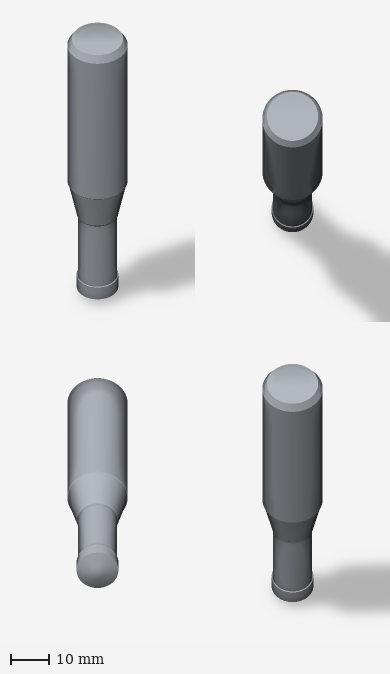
import cadquery as cq
import math

head_radius = 5.5
head_top = 6.0
point_angle = 140.0
point_height = head_radius / math.tan(math.radians(point_angle / 2))

neck_radius = 5.2
neck_top = 26.5
taper_bottom_radius = head_radius
taper_bottom = 27.0
taper_top_radius = 7.75
taper_top = 37.8
shank_bottom = 38.0
shank_radius = 7.96
total_height = 86.0
end_chamfer_width = 1.2
end_chamfer_height = 2.0


def revolve_profile(points):
    """Turn a closed radius-height outline around the Z axis."""
    return cq.Workplane("XZ").polyline(points).close().revolve(360, (0, 0, 0), (0, 1, 0))


def make_cutting_head():
    return revolve_profile([
        (0, 0),
        (head_radius, point_height),
        (head_radius, head_top),
        (0, head_top),
    ])


def make_holder():
    return revolve_profile([
        (0, head_top),
        (neck_radius, head_top),
        (neck_radius, neck_top),
        (taper_bottom_radius, taper_bottom),
        (taper_top_radius, taper_top),
        (shank_radius, shank_bottom),
        (shank_radius, total_height - end_chamfer_height),
        (shank_radius - end_chamfer_width, total_height),
        (0, total_height),
    ])


cutting_head = make_cutting_head()
holder = make_holder()

result = cq.Compound.makeCompound([cutting_head.val(), holder.val()])